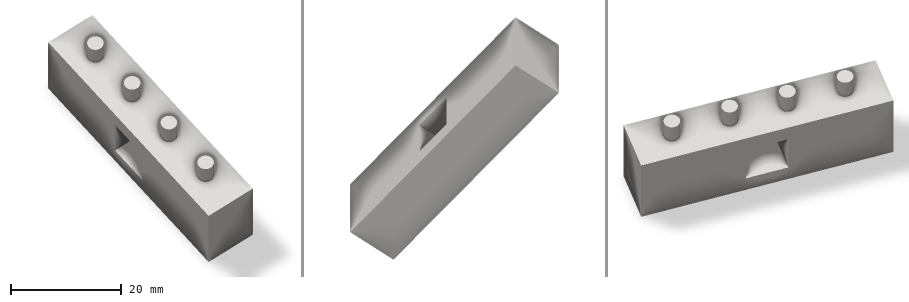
import cadquery as cq

length = 48.0
depth = 10.0
total_height = 18.5
pin_height = 4.0
block_height = total_height - pin_height

window_side = 8.0

pin_count = 4
pin_diameter = 3.0
pin_spacing = 11.0


def make_block():
    """Block standing on the XY plane, centred in X and Y."""
    return cq.Workplane("XY").box(length, depth, block_height, centered=(True, True, False))


def make_window():
    """Square bar that cuts the window from front to back."""
    return (
        cq.Workplane("XY")
        .box(window_side, depth, window_side)
        .translate((0, 0, block_height / 2))
    )


def make_pins():
    """Evenly spaced round pins rising from the top face."""
    return (
        cq.Workplane("XY", origin=(0, 0, block_height))
        .rarray(pin_spacing, 0.5, pin_count, 1)
        .circle(pin_diameter / 2)
        .extrude(pin_height)
    )


result = make_block().cut(make_window()).union(make_pins())